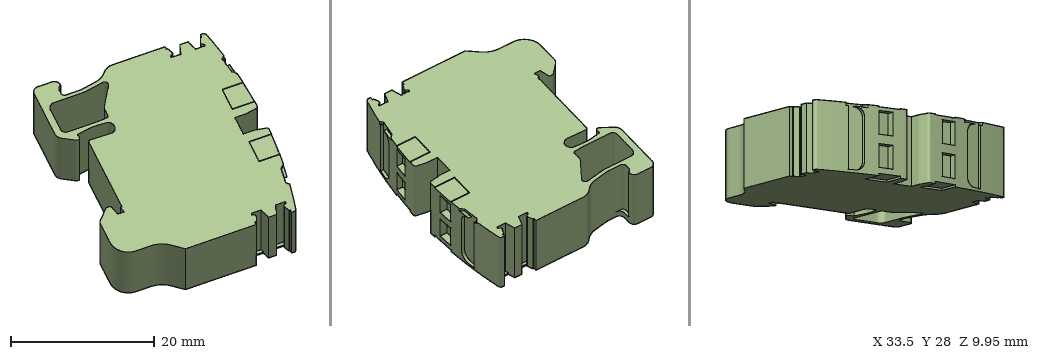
import cadquery as cq
import math


thickness = 9.95
body_half_width = 16.475
crown_radius = 70.5
crown_top = 28.06
lip_corner_radius = 0.45
margin = 0.1

notch_half_width = 1.52
notch_floor = 24.36
notch_flare_start = 26.1
notch_mouth_half_width = 2.05
notch_mouth_radius = 0.4

groove_middle = 22.72
rib_half_width = 16.0
rib_half_height = 0.62
rib_root_half_height = 0.95
rib_deep_half_height = 1.12
groove_wall = 14.95
groove_deep_wall = 14.45
groove_lip_half_height = 2.14
groove_undercut_half_height = 2.57
groove_mouth_half_height = 2.47
groove_edge_half_height = 2.67
groove_lip_length = 0.25
ledge_thickness = 0.28

rail_seat = 3.9
foot_right = 14.12
clip_left = -17.06
clip_bottom = 0.06
clip_hook_top = 4.03
spring_outer = -14.24
spring_inner = -13.67
window_right = -8.31
window_floor = 1.1
slot_left = -7.61
slot_right = -5.72
slot_top = 8.27
slot_radius = 0.92

tool_recess_start = 0.97
tool_recess_floor = 3.55
tool_recess_left = -16.0
tool_recess_radius = 0.55
tool_recess_top = 5.1

pad_inner = 3.03
pad_outer = 6.65
pad_floor = 24.6
top_pad_depth = 0.12
bottom_pad_depth = 0.3

opening_inner = 4.3
opening_outer = 6.6
opening_depth = 1.0
opening_height = 3.4
opening_middles = (2.87, 7.6)

marker_inner = 8.95
marker_outer = 11.5
marker_depth = 0.5
marker_wall = 0.42
marker_corner_radius = 1.45
marker_inner_ramp = 0.58
marker_outer_ramp = 0.4

above_crown = crown_top + 1.0


def crown_height(x):
    """Height of the crown arc at x."""
    return crown_top - crown_radius + math.sqrt(crown_radius**2 - x**2)


def rounded_outline(corners):
    """Closed wire through (x, y, radius) corners, each rounded by a tangent arc of its radius."""
    edges = []
    arcs = []
    for i, (x, y, radius) in enumerate(corners):
        corner = cq.Vector(x, y)
        to_last = (cq.Vector(*corners[i - 1][:2]) - corner).normalized()
        to_next = (cq.Vector(*corners[(i + 1) % len(corners)][:2]) - corner).normalized()
        half_angle = to_last.getAngle(to_next) / 2
        setback = radius / math.tan(half_angle)
        bisector = (to_last + to_next).normalized() if radius else cq.Vector()
        middle = corner + bisector * (radius / math.sin(half_angle) - radius)
        arcs.append((corner + to_last * setback, middle, corner + to_next * setback, radius))
    for i, (start, middle, end, radius) in enumerate(arcs):
        edges.append(cq.Edge.makeLine(arcs[i - 1][2], start))
        if radius:
            edges.append(cq.Edge.makeThreePointArc(start, middle, end))
    return cq.Wire.assembleEdges(edges)


def prism(corners, z_start, z_end):
    """Rounded outline extruded from z_start to z_end."""
    face = cq.Face.makeFromWires(rounded_outline(corners))
    solid = cq.Solid.extrudeLinear(face, cq.Vector(0, 0, z_end - z_start))
    return cq.Workplane(solid.translate(cq.Vector(0, 0, z_start)))


def box(x_start, x_end, y_start, y_end, z_start, z_end):
    """Rectangular block between the given limits."""
    size = (x_end - x_start, y_end - y_start, z_end - z_start)
    return cq.Workplane().box(*size, centered=False).translate((x_start, y_start, z_start))


def both_sides(shape):
    """The shape joined with its mirror image across X = 0."""
    return shape.union(shape.mirror("YZ"))


def side_wall():
    """Right-hand side wall from below the grooves up to the lip."""
    upper = [
        (rib_half_width, rib_half_height, 0),
        (groove_wall, rib_root_half_height, 0),
        (groove_deep_wall, rib_deep_half_height, 0),
        (groove_deep_wall, groove_undercut_half_height, 0),
        (groove_wall - groove_lip_length, groove_undercut_half_height, 0),
        (groove_wall, groove_lip_half_height, 0),
        (groove_wall + groove_lip_length, groove_lip_half_height, 0),
        (rib_half_width, groove_mouth_half_height, 0),
        (rib_half_width, groove_edge_half_height, 0),
        (body_half_width, groove_edge_half_height, 0),
    ]
    lower = [(x, -y, radius) for x, y, radius in reversed(upper)]
    return [(x, groove_middle + y, radius) for x, y, radius in lower + upper]


def profile():
    """Corners of the side profile as (x, y, radius), anticlockwise from the clip hook."""
    clip = [
        (clip_left, clip_hook_top, 0.9),
        (clip_left, clip_bottom, 0.9),
        (-8.03, clip_bottom, 1.3),
        (-6.5, 2.5, 0.2),
        (-6.5, 2.98, 0.2),
        (-7.37, 2.98, 0),
        (-7.8, 5.3, 8.0),
        (slot_left, slot_top, slot_radius),
        (slot_right, slot_top, slot_radius),
        (-5.85, rail_seat, 0.3),
    ]
    foot = [
        (6.4, rail_seat, 0),
        (6.4, 3.7, 0),
        (6.75, 3.7, 0),
        (7.33, 3.85, 0),
        (7.33, 2.88, 0.1),
        (5.7, 2.48, 0.2),
        (5.7, 1.8, 0.4),
        (7.6, 0.0, 0.8),
        (foot_right, 0.0, 2.8),
        (foot_right, 6.55, 4.0),
        (body_half_width, 9.3, 0),
    ]
    crown = [(body_half_width, above_crown, 0), (-body_half_width, above_crown, 0)]
    left_wall = [(-x, y, radius) for x, y, radius in reversed(side_wall())]
    spring = [
        (-body_half_width, 11.2, 2.0),
        (-14.87, 9.7, 2.8),
        (spring_outer, 6.4, 4.0),
        (spring_outer, clip_hook_top, 0.85),
    ]
    return clip + foot + side_wall() + crown + left_wall + spring


def housing():
    """Profile extruded to full thickness and trimmed by the crown arc."""
    blank = prism(profile(), 0, thickness)
    crown = cq.Workplane().center(0, crown_top - crown_radius).circle(crown_radius).extrude(thickness)
    body = blank.intersect(crown)
    lip_edges = cq.selectors.BoxSelector(
        (-body_half_width - margin, groove_middle + groove_edge_half_height + margin, -margin),
        (body_half_width + margin, crown_top, thickness + margin),
    )
    return body.edges("|Z").edges(lip_edges).fillet(lip_corner_radius)


def groove_ledges():
    """Thin ledges that make the side grooves shallower at the bottom face."""
    ledge = prism(
        [
            (groove_deep_wall - margin, groove_middle - groove_undercut_half_height, 0),
            (groove_wall - groove_lip_length, groove_middle - groove_undercut_half_height, 0),
            (groove_wall, groove_middle - groove_lip_half_height, 0),
            (groove_wall, groove_middle + groove_lip_half_height, 0),
            (groove_wall - groove_lip_length, groove_middle + groove_undercut_half_height, 0),
            (groove_deep_wall - margin, groove_middle + groove_undercut_half_height, 0),
        ],
        0,
        ledge_thickness,
    )
    return both_sides(ledge)


def centre_notch():
    """Flared notch through the middle of the crown."""
    notch_side = [
        (notch_half_width, notch_floor, 0),
        (notch_half_width, notch_flare_start, 0),
        (notch_mouth_half_width, above_crown, 0),
    ]
    mirrored = [(-x, y, radius) for x, y, radius in reversed(notch_side)]
    return prism(notch_side + mirrored, 0, thickness)


def clip_window():
    """Through window between the spring leg and the clip."""
    corners = [
        (spring_inner, window_floor, 0.95),
        (window_right, window_floor, 0.75),
        (window_right, 6.4, 8.0),
        (-8.44, 8.13, 0.3),
        (-10.1, 8.13, 0.6),
        (-14.42, 10.8, 0.5),
        (spring_inner, 6.6, 6.0),
    ]
    return prism(corners, 0, thickness)


def tool_recess():
    """Recess behind the hook that leaves the rounded corner only near the bottom face."""
    corners = [
        (tool_recess_left, tool_recess_floor, tool_recess_radius),
        (spring_outer, tool_recess_floor, tool_recess_radius),
        (spring_outer, tool_recess_top, 0),
        (tool_recess_left, tool_recess_top, 0),
    ]
    return prism(corners, tool_recess_start, thickness)


def face_pads():
    """Shallow recesses in both broad faces, open at the crown."""
    top_pad = box(pad_inner, pad_outer, pad_floor, above_crown, thickness - top_pad_depth, thickness)
    bottom_pad = box(pad_inner, pad_outer, pad_floor, above_crown, 0, bottom_pad_depth)
    return both_sides(top_pad).union(both_sides(bottom_pad))


def crown_openings():
    """Rectangular openings in the crown, side by side along Z."""
    floor = crown_height(opening_outer) - opening_depth
    openings = cq.Workplane()
    for middle in opening_middles:
        z_start = middle - opening_height / 2
        z_end = middle + opening_height / 2
        opening = box(opening_inner, opening_outer, floor, above_crown, z_start, z_end)
        openings = openings.add(both_sides(opening))
    return openings.combine()


def marker_pockets():
    """Pockets following the crown, with a ramped mouth through the upper wall."""
    inner_floor = crown_height(marker_inner) - marker_depth
    outer_floor = crown_height(marker_outer) - marker_depth
    pocket_floor = [(marker_inner, inner_floor, 0), (marker_outer, outer_floor, 0)]
    pocket_roof = [(marker_outer, above_crown, 0), (marker_inner, above_crown, 0)]
    pocket = prism(pocket_floor + pocket_roof, marker_wall, thickness - marker_wall)
    pocket = pocket.edges("|Y").edges("<X").fillet(marker_corner_radius)
    ramp_inner = marker_inner - marker_inner_ramp
    ramp_outer = marker_outer + marker_outer_ramp
    mouth_top = [
        (ramp_outer, crown_height(ramp_outer), 0),
        (ramp_outer, above_crown, 0),
        (ramp_inner, above_crown, 0),
        (ramp_inner, crown_height(ramp_inner), 0),
    ]
    mouth = prism(pocket_floor + mouth_top, thickness - marker_wall, thickness)
    return both_sides(pocket.union(mouth))


body = housing().union(groove_ledges()).cut(centre_notch())
notch_mouth = cq.selectors.BoxSelector(
    (-notch_mouth_half_width, notch_flare_start + margin, -margin),
    (notch_mouth_half_width, crown_top, thickness + margin),
)
body = body.edges("|Z").edges(notch_mouth).fillet(notch_mouth_radius)
body = body.cut(clip_window()).cut(tool_recess())
result = body.cut(face_pads()).cut(crown_openings()).cut(marker_pockets())